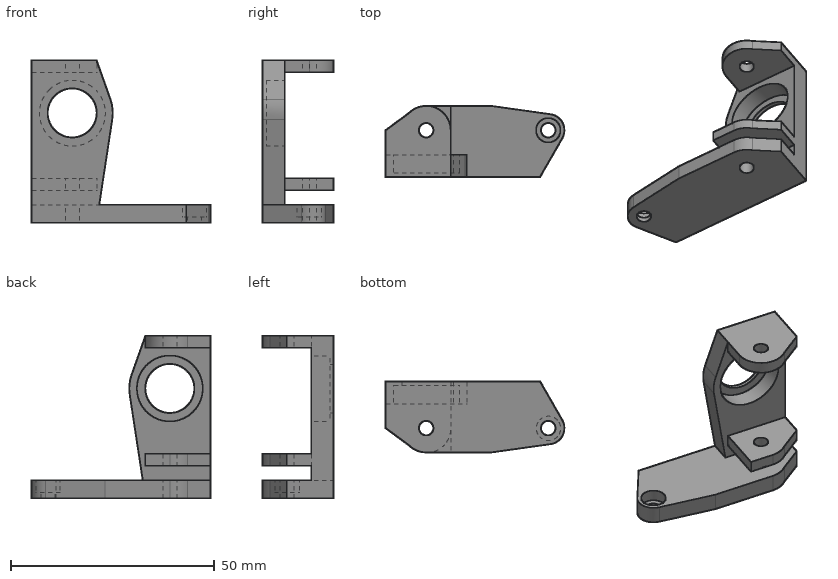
import cadquery as cq
import math

wall_thickness = 5.5
wall_height = 40.0
bore_x = 10.0
bore_z = 27.0
wall_nose_radius = 10.0
bore_diameter = 12.0
bore_recess_diameter = 16.2
bore_lip = 1.0

pivot_x = 10.0
ear_radius = 6.0
wall_end_width = pivot_x + ear_radius
depth = 17.5
pivot_y = depth - ear_radius
ear_arc_start_angle = 135.0
ear_thickness = 3.0
middle_ear_bottom = 8.0
base_thickness = 4.5
pin_diameter = 3.5

arm_hole_x = 40.0
arm_end_radius = 4.0
arm_front_length = 38.0
arm_back_length = 26.0
arm_hole_recess_diameter = 6.0
arm_hole_floor = 1.5


def point_on_circle(centre, radius, angle):
    """Point of the circle at an angle in radians from the horizontal axis of its sketch."""
    return (centre[0] + radius * math.cos(angle), centre[1] + radius * math.sin(angle))


def tangent_point(start, centre, radius, side):
    """Point where the line from start touches the circle; side is +1 (counterclockwise) or -1."""
    dx = start[0] - centre[0]
    dy = start[1] - centre[1]
    angle = math.atan2(dy, dx) + side * math.acos(radius / math.hypot(dx, dy))
    return point_on_circle(centre, radius, angle)


pivot = (pivot_x, pivot_y)
arm_hole = (arm_hole_x, pivot_y)
ear_left_corner = (0, pivot_y)
ear_back = (pivot_x, depth)
ear_arc_start = point_on_circle(pivot, ear_radius, math.radians(ear_arc_start_angle))
ear_arc_middle = point_on_circle(pivot, ear_radius, math.radians((ear_arc_start_angle + 90) / 2))


def cylinder(centre, diameter, bottom, height):
    """Vertical cylinder standing at z = bottom."""
    return cq.Workplane("XY", origin=(0, 0, bottom)).center(*centre).circle(diameter / 2).extrude(height)


def make_wall():
    """Wall with a rounded nose around the bore, and the bore's wider recess behind a thin lip."""
    bore = (bore_x, bore_z)
    bottom_corner = (wall_end_width, 0)
    top_corner = (wall_end_width, wall_height)
    wall = (
        cq.Workplane("XZ")
        .polyline([(0, 0), bottom_corner, tangent_point(bottom_corner, bore, wall_nose_radius, 1)])
        .threePointArc(
            (bore_x + wall_nose_radius, bore_z),
            tangent_point(top_corner, bore, wall_nose_radius, -1),
        )
        .lineTo(*top_corner)
        .lineTo(0, wall_height)
        .close()
        .extrude(-wall_thickness)
    )
    through = cq.Workplane("XZ").center(*bore).circle(bore_diameter / 2).extrude(-wall_thickness)
    recess = (
        cq.Workplane("XZ", origin=(0, bore_lip, 0))
        .center(*bore)
        .circle(bore_recess_diameter / 2)
        .extrude(bore_lip - wall_thickness)
    )
    return wall.cut(through).cut(recess)


def make_ear(bottom, right_side_rounded):
    """Ear behind the wall, sloped and rounded on the left; its right side is rounded or square."""
    outline = (
        cq.Workplane("XY", origin=(0, 0, bottom))
        .moveTo(0, wall_thickness)
        .lineTo(*ear_left_corner)
        .lineTo(*ear_arc_start)
        .threePointArc(ear_arc_middle, ear_back)
    )
    if right_side_rounded:
        outline = outline.tangentArcPoint((wall_end_width, pivot_y), relative=False)
    else:
        outline = outline.lineTo(wall_end_width, depth)
    return outline.lineTo(wall_end_width, wall_thickness).close().extrude(ear_thickness)


def make_base():
    """Plate with the ear outline on its left and an arm tapering to a rounded end on its right."""
    front_corner = (arm_front_length, 0)
    back_corner = (arm_back_length, depth)
    plate = (
        cq.Workplane("XY")
        .polyline([(0, 0), front_corner, tangent_point(front_corner, arm_hole, arm_end_radius, 1)])
        .threePointArc(
            (arm_hole_x + arm_end_radius, pivot_y),
            tangent_point(back_corner, arm_hole, arm_end_radius, -1),
        )
        .lineTo(*back_corner)
        .lineTo(*ear_back)
        .threePointArc(ear_arc_middle, ear_arc_start)
        .lineTo(*ear_left_corner)
        .close()
        .extrude(base_thickness)
    )
    arm_pin_hole = cylinder(arm_hole, pin_diameter, 0, base_thickness)
    arm_recess = cylinder(arm_hole, arm_hole_recess_diameter, arm_hole_floor, base_thickness - arm_hole_floor)
    return plate.cut(arm_pin_hole).cut(arm_recess)


pivot_hole = cylinder(pivot, pin_diameter, 0, wall_height)
top_ear = make_ear(wall_height - ear_thickness, right_side_rounded=True)
middle_ear = make_ear(middle_ear_bottom, right_side_rounded=False)

result = make_base().union(make_wall()).union(top_ear).union(middle_ear).cut(pivot_hole)